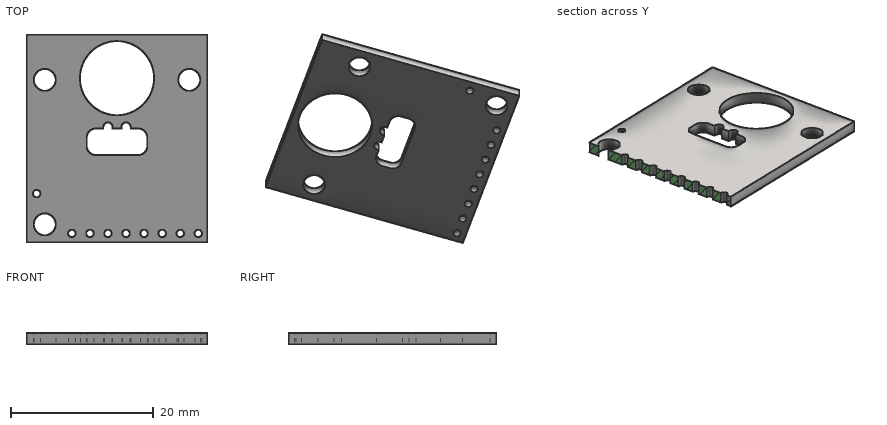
import cadquery as cq

board_width = 25.4
board_length = 29.21
board_thickness = 1.6
center_x = board_width / 2

pitch = 2.54

mount_diameter = 3.05
mount_inset = pitch
mount_upper_y = 9 * pitch

opening_diameter = 10.4
opening_y = 23.1

pin_diameter = 1.02
pin_count = 8
pin_row_y = pitch / 2
last_pin_x = board_width - pitch / 2

single_hole_x = 1.4
single_hole_y = 6.87

slot_width = 8.5
slot_bottom_y = 12.3
slot_top_y = 16.0
slot_corner_radius = 1.27
notch_width = 1.27
notch_spacing = pitch
notch_arc_y = 16.23


def through_holes(diameter, centers):
    """Cylinders that cut holes through the board at the given centers."""
    return cq.Workplane("XY").pushPoints(centers).circle(diameter / 2).extrude(board_thickness)


def notched_slot():
    """Rounded slot joined with its two notches."""
    slot_height = slot_top_y - slot_bottom_y
    slot_center_y = slot_bottom_y + slot_height / 2
    slot = (
        cq.Workplane("XY")
        .center(center_x, slot_center_y)
        .rect(slot_width, slot_height)
        .extrude(board_thickness)
        .edges("|Z")
        .fillet(slot_corner_radius)
    )
    stem_height = notch_arc_y - slot_center_y
    for side in (-1, 1):
        notch_x = center_x + side * notch_spacing / 2
        stem = (
            cq.Workplane("XY")
            .center(notch_x, slot_center_y + stem_height / 2)
            .rect(notch_width, stem_height)
            .extrude(board_thickness)
        )
        slot = slot.union(stem).union(through_holes(notch_width, [(notch_x, notch_arc_y)]))
    return slot


mount_centers = [
    (mount_inset, mount_inset),
    (mount_inset, mount_upper_y),
    (board_width - mount_inset, mount_upper_y),
]
pin_centers = [(last_pin_x - i * pitch, pin_row_y) for i in range(pin_count)]
single_center = (single_hole_x, single_hole_y)

board = cq.Workplane("XY").box(board_width, board_length, board_thickness, centered=False)
board = board.cut(through_holes(mount_diameter, mount_centers))
board = board.cut(through_holes(opening_diameter, [(center_x, opening_y)]))
board = board.cut(through_holes(pin_diameter, pin_centers + [single_center]))
result = board.cut(notched_slot())